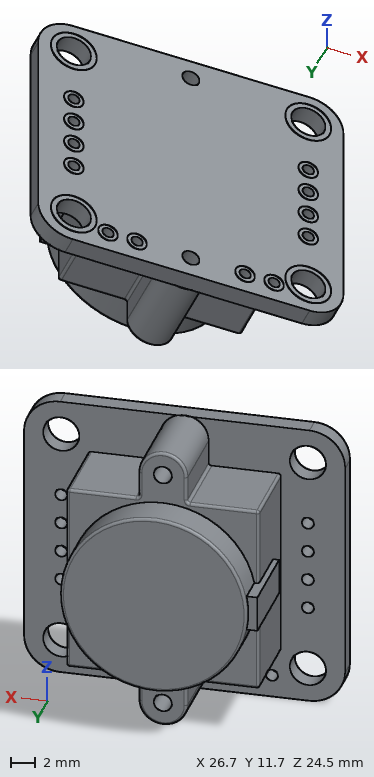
import cadquery as cq
import math

BOARD_WIDTH = 26.7
BOARD_HEIGHT = 24.35
BOARD_THICKNESS = 1.6
BOARD_CORNER_RADIUS = 3.0
PAD_THICKNESS = 0.05

MOUNT_HOLE_DIAMETER = 3.0
MOUNT_PAD_DIAMETER = 4.0
MOUNT_X = 10.25
MOUNT_Z = 9.26

PIN_HOLE_DIAMETER = 1.0
PIN_PAD_DIAMETER = 1.7
PIN_PITCH = 2.54
SIDE_PIN_COUNT = 4
BOTTOM_PIN_INNER_X = 4.73

BLOCK_SIDE = 16.0
BLOCK_DEPTH = 7.0
BARREL_DIAMETER = 15.5
BARREL_LENGTH = 3.0
POST_DIAMETER = 4.0
POST_SPAN = 24.5
SCREW_HOLE_DIAMETER = 1.5
EDGE_RADIUS = 0.25

TAB_WIDTH = 3.0
TAB_LENGTH = 7.0
TAB_BOARD_GAP = 2.48
TAB_PROJECTION = 0.5

SCREW_Z = (POST_SPAN - POST_DIAMETER) / 2
SIDE_PIN_TOP_Z = PIN_PITCH * (SIDE_PIN_COUNT - 1) / 2
BOTTOM_PIN_OUTER_X = BOTTOM_PIN_INNER_X + PIN_PITCH

MOUNT_POINTS = [(x, z) for x in (-MOUNT_X, MOUNT_X) for z in (-MOUNT_Z, MOUNT_Z)]
SCREW_POINTS = [(0, -SCREW_Z), (0, SCREW_Z)]
SIDE_PIN_POINTS = [
    (x, SIDE_PIN_TOP_Z - row * PIN_PITCH)
    for x in (-MOUNT_X, MOUNT_X)
    for row in range(SIDE_PIN_COUNT)
]
BOTTOM_PIN_POINTS = [
    (side * x, -SCREW_Z)
    for side in (-1, 1)
    for x in (BOTTOM_PIN_INNER_X, BOTTOM_PIN_OUTER_X)
]
PIN_POINTS = SIDE_PIN_POINTS + BOTTOM_PIN_POINTS


def plane_at(y):
    """XZ sketch plane at the given Y; positive extrusions run toward -Y."""
    return cq.Workplane("XZ", origin=(0, y, 0))


def discs(points, diameter, start_y, length):
    """Round discs at the (x, z) points, running from start_y toward +Y."""
    return plane_at(start_y).pushPoints(points).circle(diameter / 2).extrude(-length)


def make_board():
    """Rounded plate with raised ring pads, pin holes, mounting holes and screw holes."""
    board = (
        plane_at(0)
        .rect(BOARD_WIDTH, BOARD_HEIGHT)
        .extrude(-BOARD_THICKNESS)
        .edges("|Y")
        .fillet(BOARD_CORNER_RADIUS)
    )
    board = board.union(discs(MOUNT_POINTS, MOUNT_PAD_DIAMETER, -PAD_THICKNESS, PAD_THICKNESS))
    board = board.union(discs(PIN_POINTS, PIN_PAD_DIAMETER, -PAD_THICKNESS, PAD_THICKNESS))

    drill_length = PAD_THICKNESS + BOARD_THICKNESS
    board = board.cut(discs(MOUNT_POINTS, MOUNT_HOLE_DIAMETER, -PAD_THICKNESS, drill_length))
    board = board.cut(discs(PIN_POINTS, PIN_HOLE_DIAMETER, -PAD_THICKNESS, drill_length))
    return board.cut(discs(SCREW_POINTS, SCREW_HOLE_DIAMETER, -PAD_THICKNESS, drill_length))


def make_block():
    """Square block with a screw post on its top and bottom sides, edges rounded."""
    block = plane_at(BOARD_THICKNESS).rect(BLOCK_SIDE, BLOCK_SIDE).extrude(-BLOCK_DEPTH)
    web = plane_at(BOARD_THICKNESS).rect(POST_DIAMETER, 2 * SCREW_Z).extrude(-BLOCK_DEPTH)
    posts = discs(SCREW_POINTS, POST_DIAMETER, BOARD_THICKNESS, BLOCK_DEPTH)
    block_side_corners = cq.selectors.BoxSelector(
        (-BLOCK_SIDE, 0, -SCREW_Z + EDGE_RADIUS),
        (BLOCK_SIDE, BOARD_THICKNESS + BLOCK_DEPTH, SCREW_Z - EDGE_RADIUS),
    )
    block = block.union(web).union(posts)
    block = block.edges("|Y").edges(block_side_corners).fillet(EDGE_RADIUS)
    return block.faces(">Y").edges().fillet(EDGE_RADIUS)


def make_barrel():
    """Round lens barrel on the +Y face of the block, outer rim rounded."""
    barrel_y = BOARD_THICKNESS + BLOCK_DEPTH
    barrel = discs([(0, 0)], BARREL_DIAMETER, barrel_y, BARREL_LENGTH)
    return barrel.faces(">Y").edges().fillet(EDGE_RADIUS)


def make_tab():
    """Flat tab that runs along the -X side of the block and on beside the barrel."""
    outer_x = -BLOCK_SIDE / 2 - TAB_PROJECTION
    inner_x = -math.sqrt((BARREL_DIAMETER / 2) ** 2 - (TAB_WIDTH / 2) ** 2)
    return (
        plane_at(BOARD_THICKNESS + TAB_BOARD_GAP)
        .center((outer_x + inner_x) / 2, 0)
        .rect(inner_x - outer_x, TAB_WIDTH)
        .extrude(-TAB_LENGTH)
    )


def make_housing():
    """Block, barrel and tab in one piece, with the two screw holes through the posts."""
    housing = make_block().union(make_barrel()).union(make_tab())
    return housing.cut(discs(SCREW_POINTS, SCREW_HOLE_DIAMETER, BOARD_THICKNESS, BLOCK_DEPTH))


board = make_board()
housing = make_housing()

result = cq.Compound.makeCompound([board.solids().val(), housing.solids().val()])